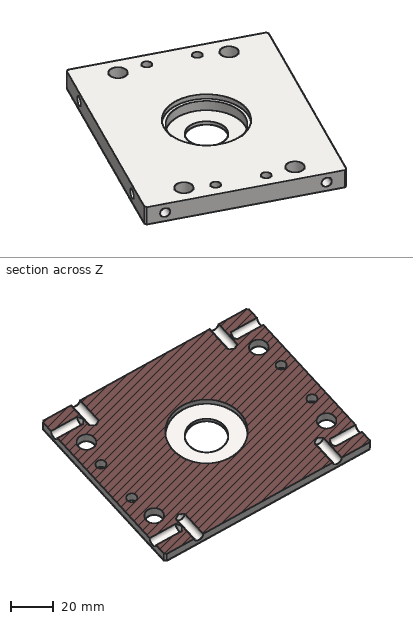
import cadquery as cq
import math

length = 119.0
width = 100.0
thickness = 10.0
corner_chamfer = 1.0

recess_diameter = 42.0
recess_depth = 2.6
seat_diameter = 38.5
floor_thickness = 2.0
bore_diameter = 20.5

large_hole_diameter = 9.0
large_hole_x = 49.7
large_hole_y = 27.5
small_hole_diameter = 5.0
small_hole_x = 52.0
small_hole_y = 12.5

edge_hole_diameter = 5.0
edge_hole_offset = 40.0
edge_hole_depth = 15.0
drill_point_angle = 118.0


def through_holes(plate, diameter, x, y):
    """Drill four through holes at the corners of a centred rectangle."""
    return (
        plate.faces(">Z")
        .workplane(origin=(0, 0, thickness))
        .rect(2 * x, 2 * y, forConstruction=True)
        .vertices()
        .hole(diameter)
    )


def edge_drill(angle, face_distance, offset):
    """Conical-ended drill entering the edge face that lies at an angle about Z."""
    radius = edge_hole_diameter / 2
    point_length = radius / math.tan(math.radians(drill_point_angle / 2))
    shoulder = face_distance - edge_hole_depth
    profile = [
        (face_distance, 0),
        (face_distance, radius),
        (shoulder, radius),
        (shoulder - point_length, 0),
    ]
    drill = cq.Workplane("XY").polyline(profile).close().revolve(360, (0, 0, 0), (1, 0, 0))
    return drill.translate((0, offset, thickness / 2)).rotate((0, 0, 0), (0, 0, 1), angle)


plate = cq.Workplane("XY").box(length, width, thickness, centered=(True, True, False))
plate = plate.edges("|Z").chamfer(corner_chamfer)

seat_depth = thickness - floor_thickness
for diameter, depth in (
    (recess_diameter, recess_depth),
    (seat_diameter, seat_depth),
    (bore_diameter, thickness),
):
    cutter = cq.Workplane("XY").workplane(offset=thickness).circle(diameter / 2).extrude(-depth)
    plate = plate.cut(cutter)

plate = through_holes(plate, large_hole_diameter, large_hole_x, large_hole_y)
plate = through_holes(plate, small_hole_diameter, small_hole_x, small_hole_y)

for angle, face_distance in ((0, length / 2), (90, width / 2), (180, length / 2), (270, width / 2)):
    for offset in (-edge_hole_offset, edge_hole_offset):
        plate = plate.cut(edge_drill(angle, face_distance, offset))

result = plate